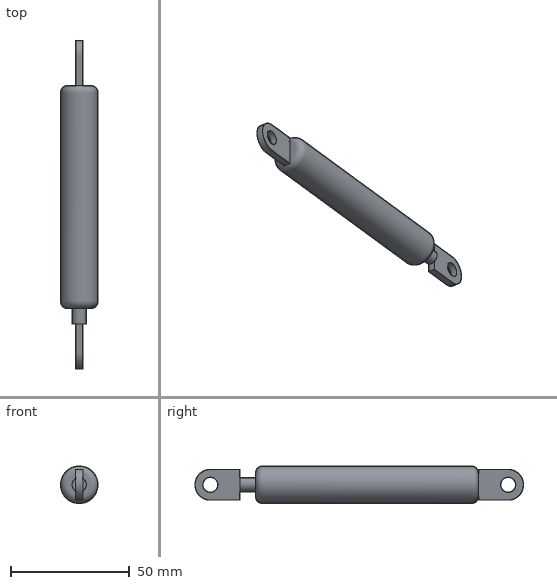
import cadquery as cq

overall_length = 138.5
body_diameter = 15.8
body_fillet = 3.0
rod_diameter = 6.0
rod_exposed_length = 6.5

lug_length = 19.0
lug_radius = 6.5
lug_thickness = 3.0
eye_diameter = 6.2

rod_lug_tip = -overall_length / 2
rod_lug_base = rod_lug_tip + lug_length
body_start = rod_lug_base + rod_exposed_length
body_lug_tip = overall_length / 2
body_end = body_lug_tip - lug_length


def cylinder_along_y(diameter, start, end):
    """Round bar on the Y axis between two stations."""
    return cq.Workplane("XZ", origin=(0, end, 0)).circle(diameter / 2).extrude(end - start)


def make_body():
    """Pressure tube with both end edges rounded."""
    tube = cylinder_along_y(body_diameter, body_start, body_end)
    return tube.faces("<Y or >Y").edges().fillet(body_fillet)


def make_lug(base, tip):
    """Flat plate from base to tip with a full-round end and an eye hole."""
    direction = 1 if tip > base else -1
    eye_centre = tip - direction * lug_radius
    side_plane = cq.Workplane("YZ", origin=(-lug_thickness / 2, 0, 0))
    plate = (
        side_plane
        .moveTo(base, -lug_radius)
        .lineTo(eye_centre, -lug_radius)
        .threePointArc((tip, 0), (eye_centre, lug_radius))
        .lineTo(base, lug_radius)
        .close()
        .extrude(lug_thickness)
    )
    eye = side_plane.center(eye_centre, 0).circle(eye_diameter / 2).extrude(lug_thickness)
    return plate.cut(eye)


rod = cylinder_along_y(rod_diameter, rod_lug_base, body_start)

result = (
    make_body()
    .union(rod)
    .union(make_lug(rod_lug_base, rod_lug_tip))
    .union(make_lug(body_end, body_lug_tip))
)